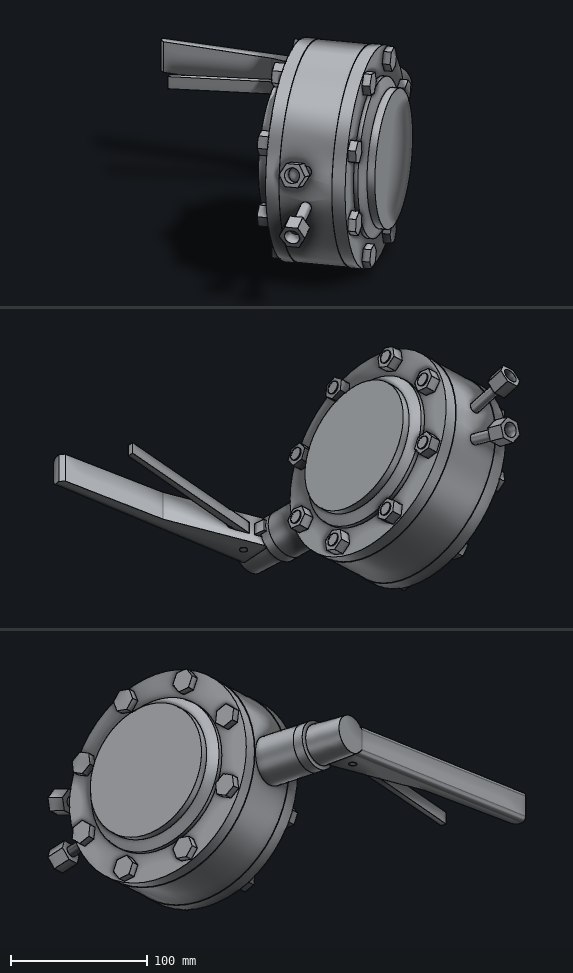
import cadquery as cq
import math


flange_radius = 165.7 / 2
housing_radius = 82.5
housing_half_width = 20.0
flange_half_width = 30.3
shoulder_radius = 60
shoulder_half_width = 33.5
port_radius = 52.2
cone_half_width = 38.5
port_half_width = 44.5

bolt_count = 8
bolt_circle_radius = 72.8
bolt_hex_flats = 16.0
bolt_shank_radius = 5.0
nut_height = 8.5
shank_tip_length = 1.0
head_height = 6

neck_radius = 19.0
neck_top = 117.8
seat_top = 126.2
stem_radius = 9
hub_gap = 1.0

tube_angle = math.radians(15)
tube_radius = 4.2
tube_axis_crossing = -30
fitting_reach = 121.7
fitting_length = 14.5
fitting_flats = 17.0
fitting_bore_radius = 5.7
fitting_bore_depth = 12
fitting_end_distance = (
    fitting_reach + tube_axis_crossing - fitting_flats / 2 * math.sin(tube_angle)
) / math.cos(tube_angle)

hub_base_radius = 16.0
hub_top_radius = 14.7
hub_base = seat_top + hub_gap
hub_top = 157.5

lever_width = 24
lever_edge_radius = 4.0
long_edge_minimum = 150
pivot_x = -21
pivot_y = 141.8
pivot_radius = 3
pivot_projection = 0.3

trigger_width = 9.5
spring_post_radius = 4.5
spring_post_x = -38.7
spring_post_start = 133.5
spring_post_end = 141


def corner_diameter(flats):
    """Corner-to-corner diameter of a hexagon given across its flats."""
    return flats / math.cos(math.radians(30))


def y_cylinder(radius, start, end):
    """Cylinder on the stem axis between two Y positions."""
    return cq.Workplane(cq.Solid.makeCylinder(radius, end - start, cq.Vector(0, start, 0), cq.Vector(0, 1, 0)))


def z_plate(points, width):
    """Outline in the XY plane extruded evenly to both sides of Z = 0."""
    return cq.Workplane("XY").polyline(points).close().extrude(width / 2, both=True)


def make_shell():
    """Revolved housing with its two flanges and stepped ports."""
    half_profile = [
        (housing_half_width, housing_radius),
        (housing_half_width, flange_radius),
        (flange_half_width, flange_radius),
        (flange_half_width, shoulder_radius),
        (shoulder_half_width, shoulder_radius),
        (cone_half_width, port_radius),
        (port_half_width, port_radius),
        (port_half_width, 0),
    ]
    mirrored = [(-x, radius) for x, radius in reversed(half_profile)]
    outline = cq.Workplane("XY").polyline(mirrored + half_profile).close()
    return outline.revolve(360, (0, 0, 0), (1, 0, 0))


def make_bolt(angle):
    """Nut and shank tip on the -X flange, bolt head on the +X flange."""
    hex_diameter = corner_diameter(bolt_hex_flats)
    nut = (
        cq.Workplane("YZ", origin=(-flange_half_width - nut_height, 0, 0))
        .center(bolt_circle_radius, 0)
        .transformed(rotate=(0, 0, 30))
        .polygon(6, hex_diameter)
        .extrude(nut_height)
    )
    shank_tip = (
        cq.Workplane("YZ", origin=(-flange_half_width - nut_height - shank_tip_length, 0, 0))
        .center(bolt_circle_radius, 0)
        .circle(bolt_shank_radius)
        .extrude(shank_tip_length)
    )
    head = (
        cq.Workplane("YZ", origin=(flange_half_width, 0, 0))
        .center(bolt_circle_radius, 0)
        .polygon(6, hex_diameter)
        .extrude(head_height)
    )
    bolt = nut.union(shank_tip).union(head)
    return bolt.rotate((0, 0, 0), (1, 0, 0), angle)


def tube_plane(side, distance):
    """Workplane square to a tube axis, at a distance along it from where it meets the XY plane."""
    direction = cq.Vector(0, -math.cos(tube_angle), side * math.sin(tube_angle))
    origin = cq.Vector(0, tube_axis_crossing, 0) + direction * distance
    return cq.Workplane(cq.Plane(origin, xDir=(1, 0, 0), normal=direction))


def make_tube(side):
    """Slanted tube rooted inside the housing, ending in a hexagonal fitting."""
    fitting_start = fitting_end_distance - fitting_length
    tube = tube_plane(side, 0).circle(tube_radius).extrude(fitting_start)
    fitting = tube_plane(side, fitting_start).polygon(6, corner_diameter(fitting_flats)).extrude(fitting_length)
    bore_start = fitting_end_distance - fitting_bore_depth
    bore = tube_plane(side, bore_start).circle(fitting_bore_radius).extrude(fitting_bore_depth)
    return tube.union(fitting.cut(bore))


def make_valve():
    """Housing with its neck, flange bolts and flushing tubes as one body."""
    valve = make_shell().union(y_cylinder(neck_radius, 0, neck_top))
    for index in range(bolt_count):
        valve = valve.union(make_bolt((index + 0.5) * 360 / bolt_count))
    for side in (1, -1):
        valve = valve.union(make_tube(side))
    return valve


def make_hub():
    """Round seat, narrower stem and tapered hub stacked on the neck."""
    seat = y_cylinder(neck_radius, neck_top, seat_top)
    stem = y_cylinder(stem_radius, seat_top, hub_base)
    height = hub_top - hub_base
    base_centre = cq.Vector(0, hub_base, 0)
    cone = cq.Solid.makeCone(hub_base_radius, hub_top_radius, height, base_centre, cq.Vector(0, 1, 0))
    return seat.union(stem).union(cq.Workplane(cone))


def make_lever():
    """Long tapered grip with both outer edges rounded, plus the pivot pin ends."""
    outline = [
        (-179.2, 178.0),
        (-180.5, 170.8),
        (-177.5, 167.2),
        (-91.0, 153.8),
        (-13.2, hub_base),
        (0, hub_base),
        (0, 156),
    ]
    lever = z_plate(outline, lever_width)
    rounded = (
        lever.edges()
        .filter(lambda edge: edge.Length() > long_edge_minimum)
        .fillet(lever_edge_radius)
    )
    pivot = (
        cq.Workplane("XY")
        .center(pivot_x, pivot_y)
        .circle(pivot_radius)
        .extrude(lever_width / 2 + pivot_projection, both=True)
    )
    return rounded.union(pivot)


def make_trigger():
    """Flat trigger bar with a latch tongue running into the seat."""
    outline = [
        (-159.5, 119.3),
        (-159.5, 114.5),
        (-25.5, 131.0),
        (-24.5, 134.0),
        (-21.3, 134.0),
        (-21.3, 128.0),
        (-20.5, 120.5),
        (-15, 120.5),
        (-15, hub_base),
        (-12, hub_base),
        (-12, 138.5),
    ]
    return z_plate(outline, trigger_width)


def make_spring_post():
    """Round post between the trigger and the underside of the lever."""
    post = y_cylinder(spring_post_radius, spring_post_start, spring_post_end)
    return post.translate((spring_post_x, 0, 0))


def make_handle():
    """Hub, lever, trigger and spring post joined as one body."""
    return make_hub().union(make_lever()).union(make_trigger()).union(make_spring_post())


valve = make_valve()
handle = make_handle()

result = cq.Compound.makeCompound([valve.solids().val(), handle.solids().val()])